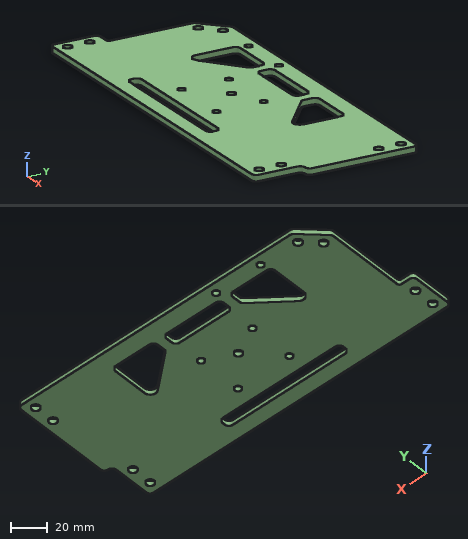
import cadquery as cq
import math

PLATE_LENGTH = 229.5
PLATE_WIDTH = 100.0
THICKNESS = 4.0

STEP_HEIGHT = 30.3
LEFT_STEP = 10.5
RIGHT_STEP = 6.2
CORNER_CUT = 15.5
CORNER_RADIUS = 3.0
INNER_STEP_RADIUS = 1.4

LOWER_LENGTH = PLATE_LENGTH - RIGHT_STEP
CENTER_X = LOWER_LENGTH / 2

MOUNTS_PER_PAIR = 2
MOUNT_DIAMETER = 5.3
MOUNT_SPACING = 14.0
LOWER_MOUNT_INSET = 7.0
LOWER_MOUNT_Y = 7.1
UPPER_MOUNT_INSET = 7.1
UPPER_MOUNT_Y = 79.2
CUT_MOUNT_X = 18.4
CUT_MOUNT_Y = 83.0
CUT_MOUNT_STEP = MOUNT_SPACING / math.sqrt(2)

SMALL_DIAMETER = 4.4
CENTER_DIAMETER = 5.0
CENTER_Y = 50.0
PATTERN_LENGTH = 38.0
PATTERN_WIDTH = 29.8
PATTERN_Y = 44.5
EDGE_HOLE_Y = 93.5
EDGE_HOLE_X = (55.3, 88.5)

WINDOW_TOP = 88.0
WINDOW_RADIUS = 3.0
UPPER_SLOT_LENGTH = 42.0
UPPER_SLOT_WIDTH = 9.9
LOWER_SLOT_X = 110.7
LOWER_SLOT_Y = 14.2
LOWER_SLOT_LENGTH = 89.3
LOWER_SLOT_WIDTH = 7.5

SLANT_INNER = 28.0
SLANT_OUTER = 59.0
SLANT_INNER_Y = 78.3
SLANT_OUTER_Y = 52.8
SLANT_TIP_RADIUS = 4.1


def round_corner(body, corner, radius):
    """Round the upright edge that stands at the given XY corner."""
    middle = (*corner, THICKNESS / 2)
    return body.edges(cq.selectors.NearestToPointSelector(middle)).fillet(radius)


def plate():
    """Stepped plate with rounded corners and one cut corner."""
    left_inner = (LEFT_STEP, STEP_HEIGHT)
    outline = [
        (0, 0),
        (LOWER_LENGTH, 0),
        (LOWER_LENGTH, STEP_HEIGHT),
        (PLATE_LENGTH, STEP_HEIGHT),
        (PLATE_LENGTH, PLATE_WIDTH),
        (LEFT_STEP + CORNER_CUT, PLATE_WIDTH),
        (LEFT_STEP, PLATE_WIDTH - CORNER_CUT),
        left_inner,
        (0, STEP_HEIGHT),
    ]
    body = cq.Workplane("XY").polyline(outline).close().extrude(THICKNESS)
    for corner in outline:
        radius = INNER_STEP_RADIUS if corner == left_inner else CORNER_RADIUS
        body = round_corner(body, corner, radius)
    return body


def holes(points, diameter):
    return cq.Workplane("XY").pushPoints(points).circle(diameter / 2).extrude(THICKNESS)


def rounded_window(x, y, length, width):
    return (
        cq.Workplane("XY")
        .center(x, y)
        .rect(length, width)
        .extrude(THICKNESS)
        .edges("|Z")
        .fillet(WINDOW_RADIUS)
    )


def slanted_window(side):
    """Window with a slanted lower side; side is -1 for left and +1 for right."""
    inner_x = CENTER_X + side * SLANT_INNER
    outer_x = CENTER_X + side * SLANT_OUTER
    tip = (outer_x, SLANT_OUTER_Y)
    corners = [
        (inner_x, WINDOW_TOP),
        (outer_x, WINDOW_TOP),
        tip,
        (inner_x, SLANT_INNER_Y),
    ]
    window = cq.Workplane("XY").polyline(corners).close().extrude(THICKNESS)
    for corner in corners:
        radius = SLANT_TIP_RADIUS if corner == tip else WINDOW_RADIUS
        window = round_corner(window, corner, radius)
    return window


mount_points = []
for i in range(MOUNTS_PER_PAIR):
    cut_offset = i * CUT_MOUNT_STEP
    lower_y = LOWER_MOUNT_Y + i * MOUNT_SPACING
    upper_y = UPPER_MOUNT_Y + i * MOUNT_SPACING
    mount_points.append((CUT_MOUNT_X + cut_offset, CUT_MOUNT_Y + cut_offset))
    mount_points.append((LOWER_MOUNT_INSET, lower_y))
    mount_points.append((LOWER_LENGTH - LOWER_MOUNT_INSET, lower_y))
    mount_points.append((PLATE_LENGTH - UPPER_MOUNT_INSET, upper_y))

small_points = [(x, EDGE_HOLE_Y) for x in EDGE_HOLE_X]
for side_x in (-1, 1):
    for side_y in (-1, 1):
        x = CENTER_X + side_x * PATTERN_LENGTH / 2
        y = PATTERN_Y + side_y * PATTERN_WIDTH / 2
        small_points.append((x, y))

upper_slot_y = WINDOW_TOP - UPPER_SLOT_WIDTH / 2

result = (
    plate()
    .cut(holes(mount_points, MOUNT_DIAMETER))
    .cut(holes(small_points, SMALL_DIAMETER))
    .cut(holes([(CENTER_X, CENTER_Y)], CENTER_DIAMETER))
    .cut(rounded_window(CENTER_X, upper_slot_y, UPPER_SLOT_LENGTH, UPPER_SLOT_WIDTH))
    .cut(rounded_window(LOWER_SLOT_X, LOWER_SLOT_Y, LOWER_SLOT_LENGTH, LOWER_SLOT_WIDTH))
    .cut(slanted_window(-1))
    .cut(slanted_window(1))
)